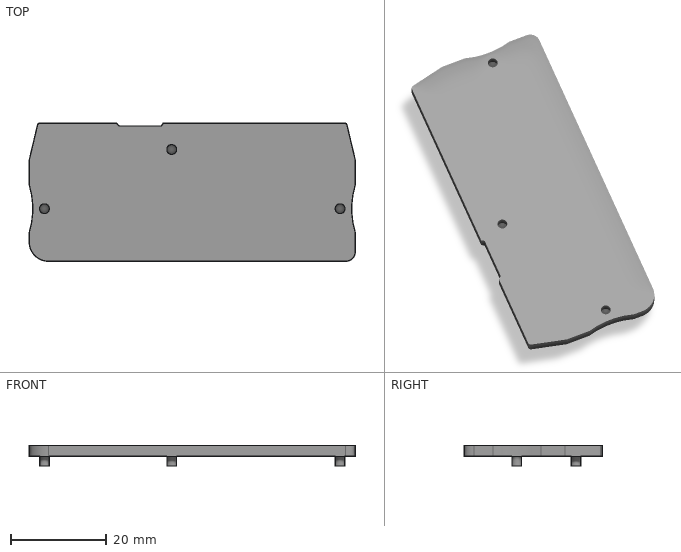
import cadquery as cq

length = 68.4
width = 29.0
thickness = 2.3

shoulder_y = 21.2
shoulder_inset = 1.85
waist_low_y = 6.0
waist_high_y = 16.1
waist_depth = 0.75
waist_mid_y = (waist_low_y + waist_high_y) / 2

front_left_radius = 4.1
front_right_radius = 2.05
shoulder_radius = 0.55

notch_left = 18.3
notch_right = 28.1
notch_depth = 0.6
notch_left_slope = 0.55
notch_right_slope = 0.4

pin_diameter = 2.05
pin_length = 2.05
hole_depth = 1.65
side_pin_inset = 3.2
side_pin_y = waist_mid_y
back_pin_x = 29.9
back_pin_inset = 5.55
pin_centers = [
    (side_pin_inset, side_pin_y),
    (length - side_pin_inset, side_pin_y),
    (back_pin_x, width - back_pin_inset),
]


def make_plate():
    """Extrude the waisted outline and round its four corners."""
    plate = (
        cq.Workplane("XY")
        .moveTo(0, 0)
        .lineTo(length, 0)
        .lineTo(length, waist_low_y)
        .threePointArc((length - waist_depth, waist_mid_y), (length, waist_high_y))
        .lineTo(length, shoulder_y)
        .lineTo(length - shoulder_inset, width)
        .lineTo(shoulder_inset, width)
        .lineTo(0, shoulder_y)
        .lineTo(0, waist_high_y)
        .threePointArc((waist_depth, waist_mid_y), (0, waist_low_y))
        .close()
        .extrude(thickness)
    )
    plate = round_corner(plate, 0, 0, front_left_radius)
    plate = round_corner(plate, length, 0, front_right_radius)
    plate = round_corner(plate, shoulder_inset, width, shoulder_radius)
    return round_corner(plate, length - shoulder_inset, width, shoulder_radius)


def round_corner(plate, x, y, radius):
    """Fillet the vertical edge nearest to (x, y)."""
    corner = cq.selectors.NearestToPointSelector((x, y, thickness / 2))
    return plate.edges("|Z").edges(corner).fillet(radius)


def make_notch():
    """Trapezoid to remove from the back edge."""
    notch_floor = width - notch_depth
    return (
        cq.Workplane("XY")
        .polyline([
            (notch_left, width),
            (notch_left + notch_left_slope, notch_floor),
            (notch_right - notch_right_slope, notch_floor),
            (notch_right, width),
        ])
        .close()
        .extrude(thickness)
    )


def make_cylinders(base_z, height):
    """Upright cylinders of the pin diameter at every pin position."""
    return (
        cq.Workplane("XY", origin=(0, 0, base_z))
        .pushPoints(pin_centers)
        .circle(pin_diameter / 2)
        .extrude(height)
    )


pins = make_cylinders(-pin_length, pin_length)
holes = make_cylinders(thickness - hole_depth, hole_depth)

result = make_plate().cut(make_notch()).union(pins).cut(holes)